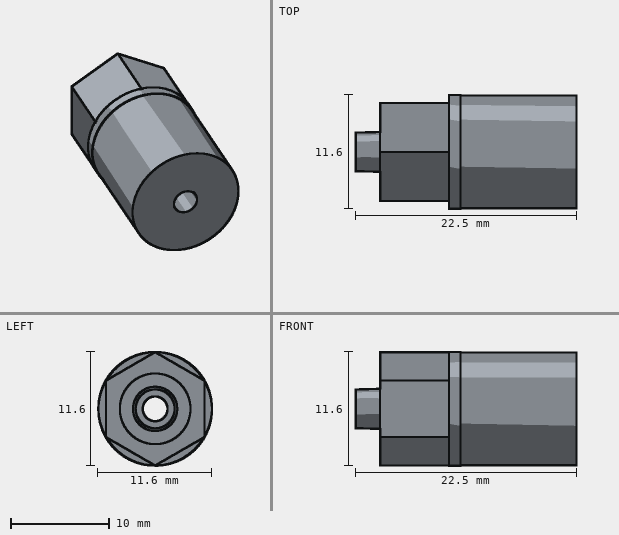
import cadquery as cq
import math

total_length = 22.5
nose_projection = 2.5
hex_length = 7.0
collar_length = 1.2

hex_across_flats = 10.0
collar_diameter = 11.6
body_diameter = 11.5
socket_diameter = 7.2
nose_tip_diameter = 3.96
bore_diameter = 2.5

nose_taper = 0.06
nose_length = 9.2

hex_start = nose_projection
collar_start = hex_start + hex_length
body_start = collar_start + collar_length
nose_root_diameter = nose_tip_diameter + nose_taper * nose_length


def section_plane(x):
    """Plane across the part axis at x, with its normal along +X."""
    return cq.Workplane("YZ", origin=(x, 0, 0))


def cylinder(x_start, x_end, diameter):
    """Round section on the part axis from x_start to x_end."""
    return section_plane(x_start).circle(diameter / 2).extrude(x_end - x_start)


def make_hexagon():
    """Wrench section with flats facing +Y and -Y and corners on the Z axis."""
    across_corners = hex_across_flats / math.cos(math.pi / 6)
    prism = section_plane(hex_start).polygon(6, across_corners).extrude(hex_length)
    return prism.rotate((0, 0, 0), (1, 0, 0), 90)


def make_nose():
    """Cone that narrows from the socket floor to the tip."""
    profile = (
        cq.Workplane("XZ")
        .lineTo(0, nose_tip_diameter / 2)
        .lineTo(nose_length, nose_root_diameter / 2)
        .lineTo(nose_length, 0)
        .close()
    )
    return profile.revolve(360, (0, 0, 0), (1, 0, 0))


collar = cylinder(collar_start, body_start, collar_diameter)
body = cylinder(body_start, total_length, body_diameter)
socket = cylinder(hex_start, nose_length, socket_diameter)
bore = cylinder(0, total_length, bore_diameter)

shell = make_hexagon().union(collar).union(body).cut(socket)
result = shell.union(make_nose()).cut(bore)